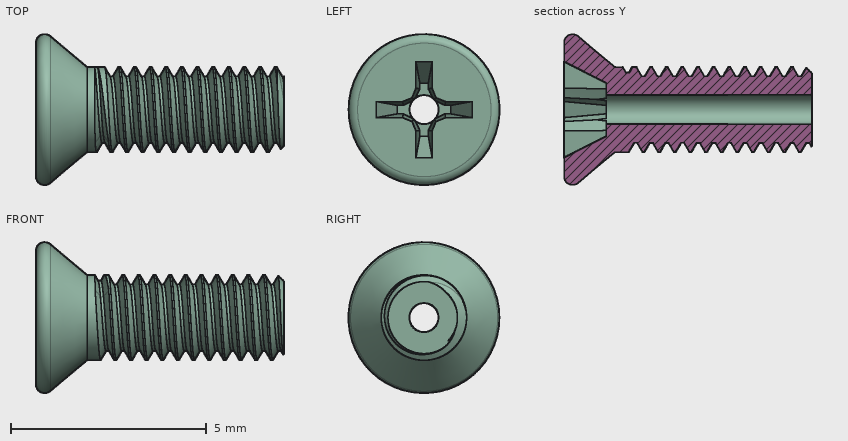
import cadquery as cq
import math

length = 6.35
head_diameter = 3.87
face_diameter = 3.415
head_half_angle = 40.0
shank_diameter = 2.185
bore_diameter = 0.735
end_chamfer = 0.17

pitch = 0.4
thread_depth = 0.235
crest_width = 0.05
flank_half_angle = 30.0
groove_start_x = 1.69
groove_start_angle = 40.0
runout_sweep = 130.0

recess_depth = 1.08
arm_reach = 1.225
arm_width = 0.41
arm_floor_reach = 0.68
arm_floor_width = 0.215
web_distance = 0.545
web_floor_distance = 0.535
web_corner = 0.305
web_floor_corner = 0.25

head_radius = head_diameter / 2
face_radius = face_diameter / 2
shank_radius = shank_diameter / 2
bore_radius = bore_diameter / 2
root_radius = shank_radius - thread_depth


def make_head():
    """Revolve the countersunk head with its rounded rim tangent to the cone."""
    rim = head_radius - face_radius
    cone_angle = math.radians(head_half_angle)

    def rim_point(angle):
        return (rim + rim * math.sin(angle), face_radius + rim * math.cos(angle))

    cone_start = rim_point(cone_angle)
    cone_drop = cone_start[1] - shank_radius
    head_height = cone_start[0] + cone_drop / math.tan(cone_angle)
    return (
        cq.Workplane("XY")
        .moveTo(0, 0)
        .lineTo(0, face_radius)
        .threePointArc(rim_point(0), cone_start)
        .lineTo(head_height, shank_radius)
        .lineTo(head_height, 0)
        .close()
        .revolve(360, (0, 0, 0), (1, 0, 0))
    )


def make_shank():
    """Threaded rod whose inner end is buried in the head."""
    rod = cq.Workplane("YZ").circle(shank_radius).extrude(length)
    return rod.cut(make_thread_groove()).cut(make_runout())


def make_end_bevel():
    """Ring that bevels the free end at 45 degrees."""
    clearance = 0.065
    return (
        cq.Workplane("XY")
        .polyline([
            (length - end_chamfer - clearance, shank_radius + clearance),
            (length + clearance, shank_radius + clearance),
            (length + clearance, shank_radius - end_chamfer - clearance),
        ])
        .close()
        .revolve(360, (0, 0, 0), (1, 0, 0))
    )


def groove_section():
    """Corners of the groove section as (radius, axial offset), opening past the crest."""
    clearance = 0.03
    slope = math.tan(math.radians(flank_half_angle))
    outer_half = (pitch - crest_width) / 2 + clearance * slope
    root_half = (pitch - crest_width) / 2 - thread_depth * slope
    outer_radius = shank_radius + clearance
    return [
        (root_radius, -root_half),
        (outer_radius, -outer_half),
        (outer_radius, outer_half),
        (root_radius, root_half),
    ]


def skin_groove(edges):
    """Close the four winding corner edges of a groove into a solid."""
    faces = []
    for index, edge in enumerate(edges):
        faces.append(cq.Face.makeRuledSurface(edges[index - 1], edge))
    for end in (0, 1):
        corners = [edge.positionAt(end) for edge in edges]
        faces.append(cq.Face.makeFromWires(cq.Wire.makePolygon(corners, close=True)))
    return cq.Workplane(cq.Solid.makeSolid(cq.Shell.makeShell(faces)))


def place_groove(groove):
    """Turn a groove built along Z onto the screw axis, starting at its start angle."""
    return (
        groove.rotate((0, 0, 0), (0, 1, 0), 90)
        .rotate((0, 0, 0), (1, 0, 0), -90 - groove_start_angle)
        .translate((groove_start_x, 0, 0))
    )


def make_thread_groove():
    """Full-depth right-hand groove, running out past the free end."""
    run = length + pitch - groove_start_x
    edges = []
    for radius, offset in groove_section():
        helix = cq.Wire.makeHelix(pitch, run, radius)
        edges.append(helix.translate(cq.Vector(0, 0, offset)).Edges()[0])
    return place_groove(skin_groove(edges))


def make_runout():
    """Groove that rises to the shank surface as it winds back toward the head."""

    def rising_edge(radius, offset):
        def point(fraction):
            angle = math.radians(-runout_sweep * fraction)
            lifted = radius + thread_depth * fraction
            along = offset - pitch * runout_sweep / 360 * fraction
            return (lifted * math.cos(angle), lifted * math.sin(angle), along)

        return cq.Workplane("XY").parametricCurve(point, makeWire=False).val()

    edges = [rising_edge(radius, offset) for radius, offset in groove_section()]
    return place_groove(skin_groove(edges))


def cross_points(reach, width, web, corner):
    """Outline of a four-armed cross with bevelled inner corners."""
    half_width = width / 2
    quarter = [
        (reach, -half_width),
        (reach, half_width),
        (web, half_width),
        (corner, corner),
        (half_width, web),
    ]
    points = []
    for _ in range(4):
        points += quarter
        quarter = [(-y, x) for x, y in quarter]
    return points


def make_recess():
    """Cross whose walls taper from the head face down to a flat floor."""
    face_outline = cross_points(arm_reach, arm_width, web_distance, web_corner)
    floor_outline = cross_points(
        arm_floor_reach, arm_floor_width, web_floor_distance, web_floor_corner
    )
    return (
        cq.Workplane("YZ")
        .polyline(face_outline)
        .close()
        .workplane(offset=recess_depth)
        .polyline(floor_outline)
        .close()
        .loft(ruled=True)
    )


def make_bore():
    """Round hole through the whole screw."""
    return cq.Workplane("YZ").circle(bore_radius).extrude(length)


result = (
    make_shank()
    .cut(make_end_bevel())
    .union(make_head())
    .cut(make_recess())
    .cut(make_bore())
)